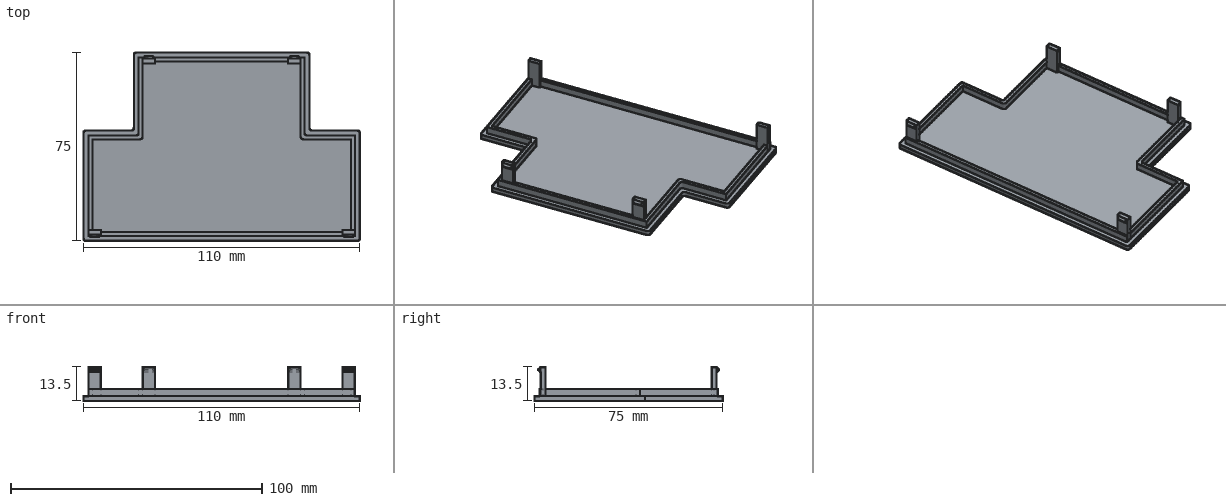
import cadquery as cq

plate_length = 110.0
plate_width = 75.0
plate_thickness = 2.0
shoulder_length = 20.0
tab_width = 31.0
corner_radius = 1.0

rim_inset = 2.0
rim_wall = 1.5
rim_height = 3.0
rim_notch_radius = 1.0

total_height = 13.5
post_length = 5.0
front_post_overhang = 0.01
post_thickness = 2.0
post_setback = 0.5

catch_height = 2.0
catch_reach = 1.0
catch_end_taper = 1.0
catch_ridge_height = 0.1


def tee_prism(inset, height):
    """T-shaped prism, moved inwards from the plate outline by the inset."""
    half_length = plate_length / 2 - inset
    half_tab = plate_length / 2 - shoulder_length - inset
    front = -plate_width / 2 + inset
    back = plate_width / 2 - inset
    shoulder = plate_width / 2 - tab_width - inset
    outline = [
        (-half_length, front),
        (half_length, front),
        (half_length, shoulder),
        (half_tab, shoulder),
        (half_tab, back),
        (-half_tab, back),
        (-half_tab, shoulder),
        (-half_length, shoulder),
    ]
    return cq.Workplane("XY").polyline(outline).close().extrude(height)


def round_notches(prism, inset, radius):
    """Round the two inward corners where the tab meets the shoulders."""
    half_tab = plate_length / 2 - shoulder_length - inset
    shoulder = plate_width / 2 - tab_width - inset
    for x in (-half_tab, half_tab):
        corner = cq.selectors.NearestToPointSelector((x, shoulder, rim_height / 2))
        prism = prism.edges("|Z").edges(corner).fillet(radius)
    return prism


def make_plate():
    return tee_prism(0, plate_thickness).edges("|Z").fillet(corner_radius)


def make_rim():
    inner_inset = rim_inset + rim_wall
    outer = round_notches(tee_prism(rim_inset, rim_height), rim_inset, rim_notch_radius)
    inner = round_notches(tee_prism(inner_inset, rim_height), inner_inset, rim_notch_radius)
    return outer.cut(inner).translate((0, 0, plate_thickness))


def make_back_post(x_center):
    """Post on the +Y side, with its catch pointing towards +Y."""
    outer_face = plate_width / 2 - rim_inset - post_setback
    post_height = total_height - plate_thickness
    post = (
        cq.Workplane("XY", origin=(x_center, outer_face - post_thickness / 2, plate_thickness))
        .box(post_length, post_thickness, post_height, centered=(True, True, False))
    )
    catch = (
        cq.Workplane("XZ", origin=(x_center, outer_face, total_height - catch_height / 2))
        .rect(post_length, catch_height)
        .workplane(offset=-catch_reach)
        .rect(post_length - 2 * catch_end_taper, catch_ridge_height)
        .loft(ruled=True)
    )
    return post.union(catch)


front_post_x = plate_length / 2 - rim_inset + front_post_overhang - post_length / 2
back_post_x = plate_length / 2 - shoulder_length - rim_inset - rim_wall - post_length / 2

result = make_plate().union(make_rim())
for side in (-1, 1):
    result = result.union(make_back_post(side * back_post_x))
    front_post = make_back_post(side * front_post_x).mirror("XZ")
    result = result.union(front_post)